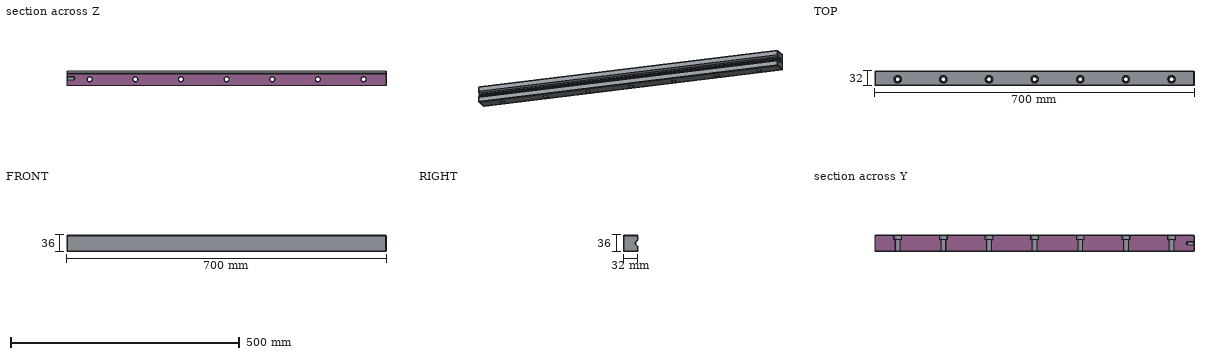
import cadquery as cq

length = 700.0
width = 32.0
height = 36.0
edge_chamfer = 1.5

groove_mouth = 14.0
groove_root = 8.0
groove_depth = 4.0
slot_height = 2.0
slot_depth = 6.0

hole_count = 7
hole_pitch = length / hole_count
hole_offset_y = -2.0
bore_diameter = 10.5
counterbore_diameter = 17.0
counterbore_depth = 10.0

tap_diameter = 6.8
tap_mouth_diameter = 10.5
tap_depth = 15.5
tap_point_depth = 2.0


def make_bar():
    bar = cq.Workplane("XY").box(length, width, height, centered=(False, True, True))
    bar = bar.edges("|X").chamfer(edge_chamfer)
    return bar.faces("<X or >X").edges().chamfer(edge_chamfer)


def make_groove():
    side = width / 2
    root = side - groove_depth
    upper_half = [
        (side, groove_mouth / 2),
        (root, groove_root / 2),
        (root, slot_height / 2),
        (side - slot_depth, slot_height / 2),
    ]
    lower_half = [(y, -z) for y, z in reversed(upper_half)]
    return cq.Workplane("YZ").polyline(upper_half + lower_half).close().extrude(length)


def make_mounting_holes():
    centres = [((i + 0.5) * hole_pitch, hole_offset_y) for i in range(hole_count)]
    top = height / 2
    bores = cq.Workplane("XY").pushPoints(centres).circle(bore_diameter / 2).extrude(height, both=True)
    counterbores = (
        cq.Workplane("XY", origin=(0, 0, top))
        .pushPoints(centres)
        .circle(counterbore_diameter / 2)
        .extrude(-counterbore_depth)
    )
    return bores.union(counterbores)


def make_end_hole():
    tap_radius = tap_diameter / 2
    mouth_radius = tap_mouth_diameter / 2
    half_section = [
        (0, 0),
        (0, mouth_radius),
        (mouth_radius - tap_radius, tap_radius),
        (tap_depth, tap_radius),
        (tap_depth + tap_point_depth, 0),
    ]
    return cq.Workplane("XY").polyline(half_section).close().revolve(360, (0, 0, 0), (1, 0, 0))


result = make_bar().cut(make_groove()).cut(make_mounting_holes()).cut(make_end_hole())